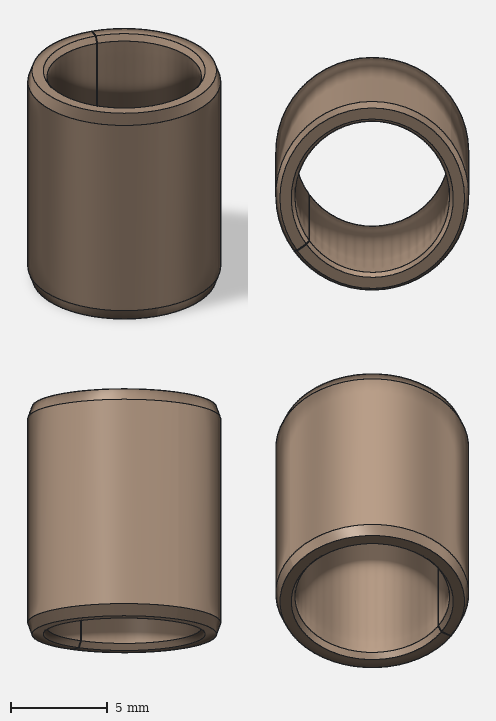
import cadquery as cq
import math

length = 12.0
outer_radius = 10.0 / 2
wall = 1.0
inner_radius = outer_radius - wall

outer_chamfer_height = 0.6
outer_chamfer_angle = 20.0
outer_chamfer_depth = outer_chamfer_height * math.tan(math.radians(outer_chamfer_angle))

inner_chamfer_depth = 0.19
inner_chamfer_height = 0.34

seam_width = 0.05


def make_sleeve():
    """Revolve the chamfered wall section about the Z axis."""
    half = length / 2
    outer_shoulder = half - outer_chamfer_height
    inner_shoulder = half - inner_chamfer_height
    outer_end_radius = outer_radius - outer_chamfer_depth
    inner_end_radius = inner_radius + inner_chamfer_depth
    section = [
        (inner_radius, -inner_shoulder),
        (inner_end_radius, -half),
        (outer_end_radius, -half),
        (outer_radius, -outer_shoulder),
        (outer_radius, outer_shoulder),
        (outer_end_radius, half),
        (inner_end_radius, half),
        (inner_radius, inner_shoulder),
    ]
    return cq.Workplane("XZ").polyline(section).close().revolve(360, (0, 0), (0, 1))


def make_seam():
    """Full-length slit through the wall on the -X side, with one face on the XZ plane."""
    seam_reach = outer_radius + wall
    seam = cq.Workplane("XY").box(seam_reach, seam_width, length)
    return seam.translate((-seam_reach / 2, seam_width / 2, 0))


result = make_sleeve().cut(make_seam())